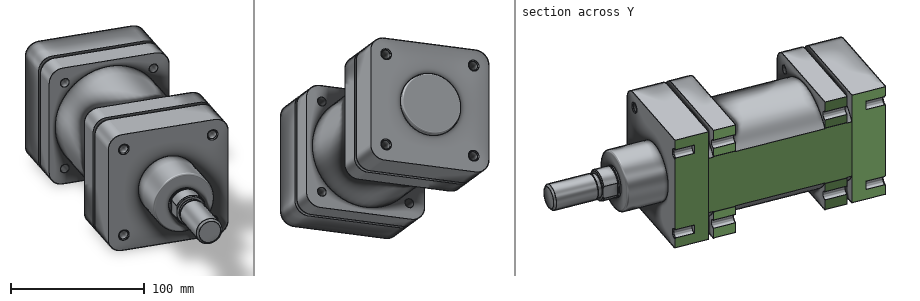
import cadquery as cq

TOTAL_LENGTH = 266.0
SPIGOT_LENGTH = 4.0
CAP_LENGTH = 28.0
CAP_GAP = 4.0
FLANGE_LENGTH = 18.4
HEAD_LENGTH = 174.5
NOSE_LENGTH = 33.5

SQUARE_SIDE = 96.0
CORNER_RADIUS = 11.0
COLLAR_DIAMETER = 48.0
COLLAR_FILLET = 1.5
BARREL_DIAMETER = 86.5

HOLE_SPACING = 71.0
HOLE_DIAMETER = 7.0
HOLE_CHAMFER = 0.8
HOLE_DEPTH = 16.0

ROD_DIAMETER = 25.0
ROD_TAPER_LENGTH = 0.8
WRENCH_DIAMETER = 24.5
WRENCH_CHAMFER = 0.8
FLATS_WIDTH = 22.0
WRENCH_LENGTH = 12.2
NECK_DIAMETER = 19.0
THREAD_DIAMETER = 20.5
THREAD_START_CHAMFER = (THREAD_DIAMETER - NECK_DIAMETER) / 2
THREAD_CHAMFER = 1.5
NECK_LENGTH = 3.0
THREAD_LENGTH = 36.7

REAR_CAP_START = SPIGOT_LENGTH
BARREL_START = REAR_CAP_START + CAP_LENGTH
REAR_FLANGE_START = BARREL_START + CAP_GAP
FRONT_CAP_END = REAR_CAP_START + HEAD_LENGTH
BARREL_END = FRONT_CAP_END - CAP_LENGTH
FRONT_FLANGE_START = BARREL_END - CAP_GAP - FLANGE_LENGTH
NOSE_END = FRONT_CAP_END + NOSE_LENGTH
THREAD_START = TOTAL_LENGTH - THREAD_LENGTH
WRENCH_END = THREAD_START - NECK_LENGTH
WRENCH_START = WRENCH_END - WRENCH_LENGTH


def cylinder(start, end, diameter):
    """Solid cylinder on the X axis between two stations."""
    return cq.Workplane("YZ", origin=(start, 0, 0)).circle(diameter / 2).extrude(end - start)


def square_block(start, length):
    """Square block across the X axis with its four long edges rounded."""
    block = cq.Workplane("YZ", origin=(start, 0, 0)).rect(SQUARE_SIDE, SQUARE_SIDE).extrude(length)
    return block.edges("|X").fillet(CORNER_RADIUS)


def screw_holes(face, depth, countersunk):
    """Four cutters at the corner positions, starting at the face; a negative depth runs toward -X."""
    pattern = cq.Workplane("YZ", origin=(face, 0, 0)).rect(HOLE_SPACING, HOLE_SPACING, forConstruction=True)
    holes = pattern.vertices().circle(HOLE_DIAMETER / 2).extrude(depth)
    if countersunk:
        mouth = cq.Solid.makeCone(
            HOLE_DIAMETER / 2 + HOLE_CHAMFER,
            HOLE_DIAMETER / 2,
            HOLE_CHAMFER,
            dir=cq.Vector(depth, 0, 0),
        )
        for corner in pattern.vertices().vals():
            holes = holes.union(cq.Workplane(mouth.translate(corner.Center())))
    return holes


def make_rear_cap():
    """Rear cap with a rounded centring spigot and blind screw holes in its rear face."""
    spigot = cylinder(0, REAR_CAP_START, COLLAR_DIAMETER).faces("<X").edges().fillet(COLLAR_FILLET)
    cap = square_block(REAR_CAP_START, CAP_LENGTH).union(spigot)
    return cap.cut(screw_holes(REAR_CAP_START, HOLE_DEPTH, True))


def make_front_cap():
    """Front cap with a rounded guide nose, a bore for the rod and blind holes in its front face."""
    nose = cylinder(FRONT_CAP_END, NOSE_END, COLLAR_DIAMETER).faces(">X").edges().fillet(COLLAR_FILLET)
    cap = square_block(BARREL_END, CAP_LENGTH).union(nose)
    cap = cap.cut(screw_holes(FRONT_CAP_END, -HOLE_DEPTH, True))
    return cap.cut(cylinder(BARREL_END, NOSE_END, ROD_DIAMETER))


def make_flange(start):
    """Square flange that fits around the barrel, with four screw holes right through."""
    flange = square_block(start, FLANGE_LENGTH)
    flange = flange.cut(screw_holes(start, FLANGE_LENGTH, False))
    return flange.cut(cylinder(start, start + FLANGE_LENGTH, BARREL_DIAMETER))


def make_rod():
    """Piston rod with a two-flat wrench section, a neck and a plain thread envelope."""
    shank = cylinder(BARREL_END, WRENCH_START, ROD_DIAMETER)
    shank = shank.faces(">X").chamfer(ROD_TAPER_LENGTH, (ROD_DIAMETER - WRENCH_DIAMETER) / 2)
    wrench = cylinder(WRENCH_START, WRENCH_END, WRENCH_DIAMETER).faces(">X").chamfer(WRENCH_CHAMFER)
    flats = cq.Workplane("YZ", origin=(WRENCH_START, 0, 0)).rect(FLATS_WIDTH, ROD_DIAMETER)
    wrench = wrench.intersect(flats.extrude(WRENCH_LENGTH))
    neck = cylinder(WRENCH_END, THREAD_START, NECK_DIAMETER)
    thread = cylinder(THREAD_START, TOTAL_LENGTH, THREAD_DIAMETER)
    thread = thread.faces("<X").chamfer(THREAD_START_CHAMFER)
    thread = thread.faces(">X").chamfer(THREAD_CHAMFER)
    return shank.union(wrench).union(neck).union(thread)


rear_cap = make_rear_cap()
front_cap = make_front_cap()
flanges = [make_flange(start) for start in (REAR_FLANGE_START, FRONT_FLANGE_START)]
barrel = cylinder(BARREL_START, BARREL_END, BARREL_DIAMETER)
rod = make_rod()

result = cq.Compound.makeCompound(
    [
        rear_cap.val(),
        front_cap.val(),
        *[flange.val() for flange in flanges],
        barrel.val(),
        rod.val(),
    ]
)